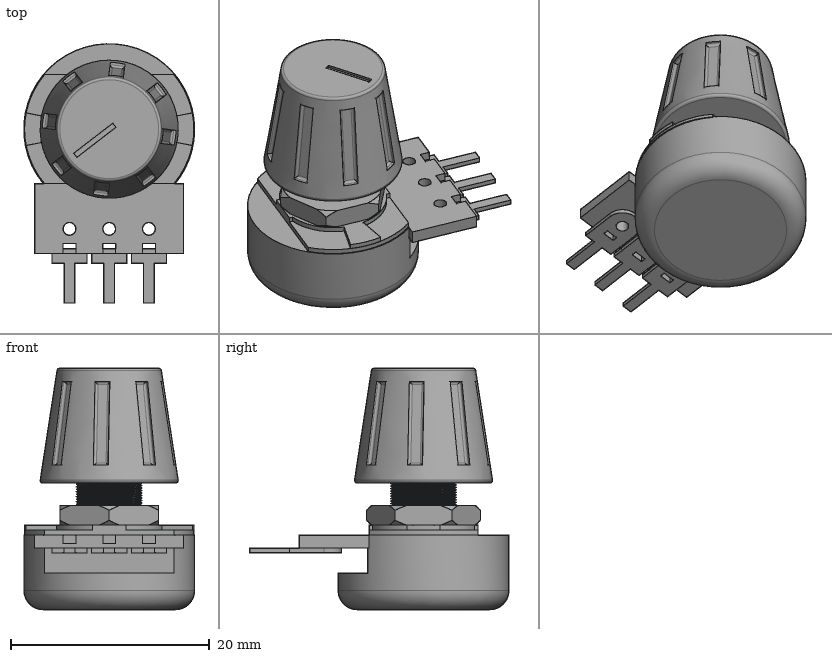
import cadquery as cq
import math


can_diameter = 17.2
overall_length = 26.1

can_radius = can_diameter / 2
can_height = 7.52
can_edge_radius = 1.95
step_face_y = -5.6
step_floor_z = 3.68

plate_radius = 8.5
plate_flat_distance = 5.48
layer_height = 0.5
boss_radius = 5.4
wedge_radius = 8.53
wedge_half_angle = 11.1
tab_width = 3.4
plate_top = can_height + layer_height
pad_top = plate_top + layer_height

nut_across_flats = 9.95
nut_height = 1.98
nut_chamfer = 0.5
nut_top = pad_top + nut_height

thread_radius = 3.31
thread_pitch = 0.25
thread_depth = 0.2
thread_land = 0.03
thread_overlap = 0.03
core_radius = thread_radius - thread_depth

knob_bottom = 12.74
knob_top = 24.3
knob_bottom_radius = 7.0
knob_top_radius = 5.22
knob_edge_radius = 0.3
knob_turn = 217.6
grip_count = 8
grip_bottom = 14.55
grip_top = 22.95
grip_width = 1.5
grip_depth = 0.5
grip_fillet = 0.25
pointer_tail = -0.65
pointer_tip = 4.3
pointer_width = 0.52
pointer_depth = 0.23

board_width = 14.98
board_thickness = 1.3
terminal_tip_y = can_radius - overall_length
board_front_y = -12.5
board_back_y = -plate_flat_distance
board_bottom = can_height - board_thickness
terminal_count = 3
terminal_pitch = 4.0
terminal_thickness = 0.5
terminal_shoulder_y = -13.5
terminal_hole_y = -10.02
terminal_hole_diameter = 1.25
pad_width = 3.55
leg_width = 1.1
notch_width = 1.28
notch_depth = 1.0
lug_thickness = 0.5
lug_rise = 0.47


def block(x_min, x_max, y_min, y_max, z_min, z_max):
    """A box given by its limits along each axis."""
    size = (x_max - x_min, y_max - y_min, z_max - z_min)
    return cq.Workplane("XY").box(*size, centered=False).translate((x_min, y_min, z_min))


def disc(radius, z_min, z_max):
    """An upright cylinder on the control axis."""
    return cq.Workplane("XY").workplane(offset=z_min).circle(radius).extrude(z_max - z_min)


def make_can():
    """Round can with a rounded bottom edge and a step cut into its front, below the board."""
    can = disc(can_radius, 0, can_height).faces("<Z").edges().fillet(can_edge_radius)
    step = block(-can_radius, can_radius, -can_radius, step_face_y, step_floor_z, can_height)
    return can.cut(step)


def make_wedge(side):
    """Raised sector on the plate, pointing along -X or +X."""
    reach = 2 * plate_radius
    half_width = reach * math.tan(math.radians(wedge_half_angle))
    return (
        cq.Workplane("XY")
        .workplane(offset=plate_top)
        .polyline([(0, 0), (side * reach, -half_width), (side * reach, half_width)])
        .close()
        .extrude(layer_height)
        .intersect(disc(wedge_radius, plate_top, pad_top))
    )


def make_plate():
    """Plate with two flats, carrying a boss, two wedges at the sides and a tab at each flat."""
    plate = disc(plate_radius, can_height, plate_top).union(disc(boss_radius, plate_top, pad_top))
    for side in (-1, 1):
        plate = plate.union(make_wedge(side))
    tabs = block(
        -tab_width / 2, tab_width / 2, -plate_flat_distance, plate_flat_distance, plate_top, pad_top
    )
    between_flats = block(
        -wedge_radius, wedge_radius, -plate_flat_distance, plate_flat_distance, can_height, pad_top
    )
    return plate.union(tabs).intersect(between_flats)


def make_bush():
    """Plain core inside the nut, with a helical thread from the nut up to the knob."""
    helix_start = nut_top - thread_pitch
    helix_end = knob_bottom + thread_pitch
    root_radius = core_radius - thread_overlap
    half_base = (thread_pitch - thread_land) / 2
    helix = cq.Wire.makeHelix(
        thread_pitch, helix_end - helix_start, core_radius, cq.Vector(0, 0, helix_start)
    )
    ridge = (
        cq.Workplane("XZ")
        .polyline([
            (root_radius, helix_start - half_base),
            (thread_radius, helix_start),
            (root_radius, helix_start + half_base),
        ])
        .close()
        .sweep(cq.Workplane(helix), isFrenet=True)
    )
    core = disc(core_radius, pad_top, helix_end + thread_pitch)
    shank = disc(core_radius, pad_top, nut_top)
    threaded_length = disc(thread_radius + thread_depth, nut_top, knob_bottom)
    return core.union(ridge).intersect(shank.union(threaded_length))


def make_housing(terminal_board):
    """Can, plate and bush as one solid, with a shallow seat for the back edge of the board."""
    return make_can().union(make_plate()).union(make_bush()).cut(terminal_board)


def terminal_positions():
    """X of each terminal, evenly spaced about the middle."""
    first = -(terminal_count - 1) / 2 * terminal_pitch
    return [first + index * terminal_pitch for index in range(terminal_count)]


def make_terminal(x):
    """Flat terminal with a round-ended pad, a narrow leg and a lug bent up into the notch."""
    pad = (
        cq.Workplane("XY")
        .workplane(offset=board_bottom - terminal_thickness)
        .moveTo(x - pad_width / 2, terminal_shoulder_y)
        .lineTo(x + pad_width / 2, terminal_shoulder_y)
        .lineTo(x + pad_width / 2, terminal_hole_y)
        .threePointArc((x, terminal_hole_y + pad_width / 2), (x - pad_width / 2, terminal_hole_y))
        .close()
        .extrude(terminal_thickness)
    )
    leg = block(
        x - leg_width / 2,
        x + leg_width / 2,
        terminal_tip_y,
        terminal_shoulder_y,
        board_bottom - terminal_thickness,
        board_bottom,
    )
    return pad.union(leg)


def make_terminal_openings(x):
    """Rivet hole and notch, both through the board and the terminal, less the lug in the notch."""
    bottom = board_bottom - terminal_thickness
    hole = (
        cq.Workplane("XY")
        .workplane(offset=bottom)
        .center(x, terminal_hole_y)
        .circle(terminal_hole_diameter / 2)
        .extrude(can_height - bottom)
    )
    left = x - notch_width / 2
    right = x + notch_width / 2
    notch = block(left, right, board_front_y, board_front_y + notch_depth, bottom, can_height)
    lug = block(
        left, right, board_front_y, board_front_y + lug_thickness, bottom, board_bottom + lug_rise
    )
    return hole.union(notch.cut(lug))


def make_terminal_board():
    """Board and its terminals as one solid."""
    board = block(
        -board_width / 2, board_width / 2, board_front_y, board_back_y, board_bottom, can_height
    )
    for x in terminal_positions():
        board = board.union(make_terminal(x)).cut(make_terminal_openings(x))
    return board


def make_nut():
    """Hexagon nut with flats facing X, corners chamfered at both ends."""
    corner_radius = nut_across_flats / math.sqrt(3)
    hexagon = (
        cq.Workplane("XY")
        .workplane(offset=pad_top)
        .polygon(6, 2 * corner_radius)
        .extrude(nut_height)
        .rotate((0, 0, 0), (0, 0, 1), 30)
    )
    corner_cone = disc(corner_radius, pad_top, nut_top).edges().chamfer(nut_chamfer)
    return hexagon.intersect(corner_cone).cut(disc(core_radius, pad_top, nut_top))


def knob_radius_at(z):
    """Radius of the knob's tapered wall at height z."""
    fraction = (z - knob_bottom) / (knob_top - knob_bottom)
    return knob_bottom_radius + fraction * (knob_top_radius - knob_bottom_radius)


def make_grip_cutter():
    """Cutter for one grip recess on the +X side, its floor parallel to the wall and filleted."""
    floor_bottom = knob_radius_at(grip_bottom) - grip_depth
    floor_top = knob_radius_at(grip_top) - grip_depth
    cutter = (
        cq.Workplane("XZ")
        .polyline([
            (floor_bottom, grip_bottom),
            (knob_bottom_radius, grip_bottom),
            (knob_bottom_radius, grip_top),
            (floor_top, grip_top),
        ])
        .close()
        .extrude(grip_width / 2, both=True)
    )
    return cutter.faces("<X").edges().fillet(grip_fillet)


def make_knob():
    """Tapered knob with rounded rims, grip recesses around it and a pointer groove on top."""
    knob = (
        cq.Workplane("XZ")
        .polyline([
            (0, knob_bottom),
            (knob_bottom_radius, knob_bottom),
            (knob_top_radius, knob_top),
            (0, knob_top),
        ])
        .close()
        .revolve(360, (0, 0, 0), (0, 1, 0))
        .faces("<Z or >Z")
        .edges()
        .fillet(knob_edge_radius)
    )
    cutter = make_grip_cutter()
    for index in range(grip_count):
        knob = knob.cut(cutter.rotate((0, 0, 0), (0, 0, 1), index * 360 / grip_count))
    pointer = block(
        pointer_tail,
        pointer_tip,
        -pointer_width / 2,
        pointer_width / 2,
        knob_top - pointer_depth,
        knob_top,
    )
    return knob.cut(pointer).rotate((0, 0, 0), (0, 0, 1), knob_turn)


terminal_board = make_terminal_board()
housing = make_housing(terminal_board)
nut = make_nut()
knob = make_knob()

bodies = [housing, terminal_board, nut, knob]
result = cq.Compound.makeCompound([body.solids().val() for body in bodies])